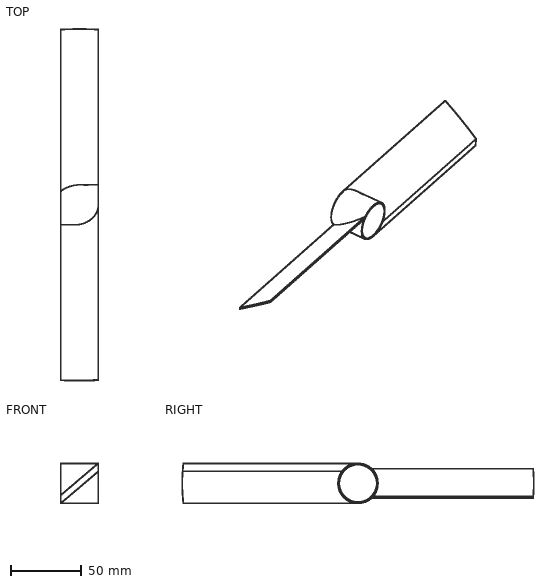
import cadquery as cq

hub_length = 26.9
hub_diameter = 28.6
hub_wall = 1.0
tip_diameter = 251.2

wide_blade_height = 28.6
wide_blade_edge = 5.8
thin_blade_height = 21.0
thin_blade_edge = 1.5

half_length = hub_length / 2
hub_radius = hub_diameter / 2
tip_radius = tip_diameter / 2


def cylinder_along_x(radius):
    """Solid cylinder on the hub axis, as long as the hub."""
    return cq.Workplane("YZ", origin=(-half_length, 0, 0)).circle(radius).extrude(hub_length)


def make_hub():
    """Thin-walled tube that carries both blades."""
    bore = cylinder_along_x(hub_radius - hub_wall)
    return cylinder_along_x(hub_radius).cut(bore)


def make_blade(height, edge, side):
    """Pitched slab with upright edges, from the hub to the tip circle on one side (+1 or -1) of Y."""
    half_height = height / 2
    high_x = -side * half_length
    low_x = -high_x
    slab = (
        cq.Workplane("XZ")
        .moveTo(low_x, -half_height)
        .lineTo(high_x, half_height - edge)
        .lineTo(high_x, half_height)
        .lineTo(low_x, edge - half_height)
        .close()
        .extrude(-side * tip_radius)
    )
    return slab.intersect(cylinder_along_x(tip_radius)).cut(cylinder_along_x(hub_radius))


hub = make_hub()
wide_blade = make_blade(wide_blade_height, wide_blade_edge, side=-1)
thin_blade = make_blade(thin_blade_height, thin_blade_edge, side=1)

result = cq.Compound.makeCompound([hub.solids().val(), wide_blade.solids().val(), thin_blade.solids().val()])